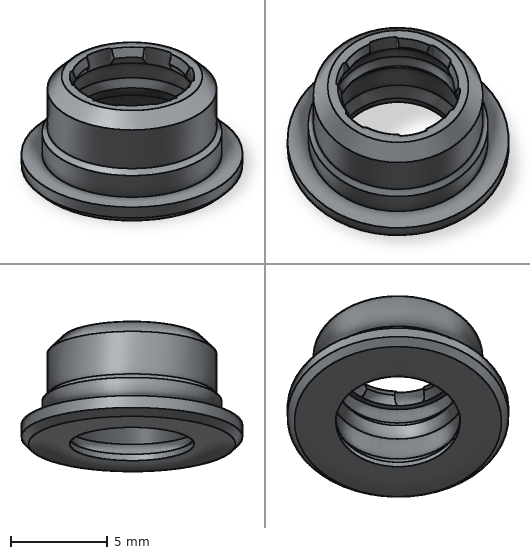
import cadquery as cq
import math

height = 5.6
flange_radius = 5.75
flange_chamfer = 0.37
flange_top = 1.01
collar_radius = 9.35 / 2
collar_top = 2.29
body_radius = 8.81 / 2
collar_chamfer = collar_radius - body_radius
top_chamfer = 0.75

bore_radius = 7.2 / 2
groove_radius = 3.5
lip_radius = 3.23
mouth_radius = 3.14
tooth_tip_radius = 2.94
tooth_tip_depth = 0.51
flare_angle = math.radians(30)
lip_z = 3.12
foot_cone_z = 0.98

notch_count = 6
notch_width = 1.54
notch_radius = lip_radius
notch_corner = 0.2


def flare_length(inner_radius, outer_radius):
    """Axial length of a bore cone between two radii."""
    return (outer_radius - inner_radius) / math.tan(flare_angle)


tooth_tip_z = height - tooth_tip_depth
tooth_base_z = tooth_tip_z - flare_length(tooth_tip_radius, notch_radius)
lip_seat_z = lip_z + flare_length(lip_radius, groove_radius)
foot_base_z = foot_cone_z - flare_length(lip_radius, bore_radius)
lip_base_z = lip_z - flare_length(lip_radius, bore_radius)


def revolved_wall():
    """Ring section in (radius, z), revolved about the Z axis."""
    section = [
        (lip_radius, 0),
        (flange_radius - flange_chamfer, 0),
        (flange_radius, flange_chamfer),
        (flange_radius, flange_top),
        (collar_radius, flange_top),
        (collar_radius, collar_top),
        (body_radius, collar_top + collar_chamfer),
        (body_radius, height - top_chamfer),
        (body_radius - top_chamfer, height),
        (mouth_radius, height),
        (tooth_tip_radius, tooth_tip_z),
        (notch_radius, tooth_base_z),
        (groove_radius, tooth_base_z),
        (groove_radius, lip_seat_z),
        (lip_radius, lip_z),
        (bore_radius, lip_base_z),
        (bore_radius, foot_cone_z),
        (lip_radius, foot_base_z),
    ]
    profile = cq.Workplane("XZ").polyline(section).close()
    return profile.revolve(360, (0, 0, 0), (0, 1, 0))


def notch(angle):
    """Cutter for two opposite notches: parallel sides, arc floor and rounded floor corners."""
    depth = height - tooth_base_z
    base = cq.Workplane("XY", origin=(0, 0, tooth_base_z))
    slab = base.rect(notch_radius * 2, notch_width).extrude(depth)
    disc = base.circle(notch_radius).extrude(depth)
    rounded = slab.intersect(disc).edges("|Z").fillet(notch_corner)
    return rounded.rotate((0, 0, 0), (0, 0, 1), angle)


result = revolved_wall()
for index in range(notch_count // 2):
    result = result.cut(notch(90 + index * 360 / notch_count))